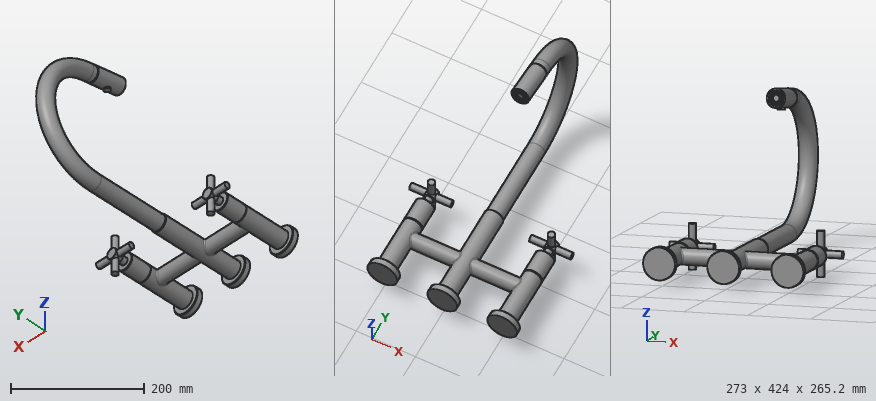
import cadquery as cq
import math


COLUMN_SPREAD = 203.0
FLANGE_DIAMETER = 50.5
FLANGE_THICKNESS = 11.0
COLUMN_DIAMETER = 32.0
OUTER_COLUMN_END = 99.5
CENTRE_COLUMN_END = 170.0
CROSS_TUBE_DIAMETER = 26.0
CROSS_TUBE_Y = 75.0
CROSS_TUBE_FILLET = 2.0
EDGE_CHAMFER = 1.05

SLEEVE_LENGTH = 40.7
STEM_DIAMETER = 13.5
HUB_DIAMETER = 19.0
HUB_LENGTH = 15.3
HUB_END = 168.0
BAR_DIAMETER = 11.5
BAR_LENGTH = 70.0

SPOUT_DIAMETER = 29.3
SPOUT_REACH = 424.0
BEND_RADIUS = 103.0
BEND_SWEEP = 171.0
TAIL_LENGTH = 10.0
HEAD_LENGTH = 59.5
HEAD_DIAMETER = 29.5
NOZZLE_GROOVE_DIAMETERS = [(10.5, 13.0), (15.5, 18.2), (20.8, 23.5)]
NOZZLE_GROOVE_DEPTH = 1.5
BUTTON_DIAMETER = 12.0
BUTTON_ROOT_DIAMETER = 4.2
BUTTON_HEIGHT = 2.5
BUTTON_SETBACK = 27.5


def cylinder_y(x, start, end, diameter):
    """Cylinder along Y, centred on (x, Z = 0)."""
    return cq.Workplane("XZ", origin=(x, start, 0)).circle(diameter / 2).extrude(start - end)


def make_column(x, end):
    flange = cylinder_y(x, 0, FLANGE_THICKNESS, FLANGE_DIAMETER).faces(">Y").chamfer(EDGE_CHAMFER)
    return flange.union(cylinder_y(x, 0, end, COLUMN_DIAMETER))


def make_bridge():
    half_spread = COLUMN_SPREAD / 2
    cross_tube = (
        cq.Workplane("YZ", origin=(-half_spread, CROSS_TUBE_Y, 0))
        .circle(CROSS_TUBE_DIAMETER / 2)
        .extrude(COLUMN_SPREAD)
    )
    centre_column = make_column(0, CENTRE_COLUMN_END)
    bridge = centre_column.faces(">Y").chamfer(EDGE_CHAMFER).union(cross_tube)
    for x in (-half_spread, half_spread):
        bridge = bridge.union(make_column(x, OUTER_COLUMN_END))

    return bridge.edges("%BSPLINE").fillet(CROSS_TUBE_FILLET)


def make_handle(x):
    sleeve_end = OUTER_COLUMN_END + SLEEVE_LENGTH
    hub_start = HUB_END - HUB_LENGTH
    bar_y = HUB_END - HUB_LENGTH / 2
    sleeve = cylinder_y(x, OUTER_COLUMN_END, sleeve_end, COLUMN_DIAMETER)
    sleeve = sleeve.faces("<Y or >Y").chamfer(EDGE_CHAMFER)
    stem = cylinder_y(x, sleeve_end, hub_start, STEM_DIAMETER)
    hub = cylinder_y(x, hub_start, HUB_END, HUB_DIAMETER)
    handle = sleeve.union(stem).union(hub)
    for plane in ("YZ", "XY"):
        bar = cq.Workplane(plane, origin=(x, bar_y, 0)).circle(BAR_DIAMETER / 2)
        handle = handle.union(bar.extrude(BAR_LENGTH / 2, both=True))
    return handle


def make_spout():
    bend_start = SPOUT_REACH - SPOUT_DIAMETER / 2 - BEND_RADIUS
    sweep = math.radians(BEND_SWEEP)
    tail_direction = (math.cos(sweep), math.sin(sweep))

    def bend_point(angle):
        return (bend_start + BEND_RADIUS * math.sin(angle), BEND_RADIUS * (1 - math.cos(angle)))

    def tail_point(distance):
        y, z = bend_point(sweep)
        return (y + distance * tail_direction[0], z + distance * tail_direction[1])

    def tail_plane(distance):
        """Plane across the tail: local x is X, local y points up, normal runs to the open end."""
        return cq.Plane((0, *tail_point(distance)), (1, 0, 0), (0, *tail_direction))

    path = (
        cq.Workplane("YZ")
        .moveTo(CENTRE_COLUMN_END, 0)
        .lineTo(bend_start, 0)
        .threePointArc(bend_point(sweep / 2), bend_point(sweep))
        .lineTo(*tail_point(TAIL_LENGTH))
    )
    tube = cq.Workplane("XZ", origin=(0, CENTRE_COLUMN_END, 0)).circle(SPOUT_DIAMETER / 2).sweep(path)

    head = cq.Workplane(tail_plane(TAIL_LENGTH)).circle(HEAD_DIAMETER / 2).extrude(HEAD_LENGTH)
    head = head.faces(">Y").chamfer(EDGE_CHAMFER)
    open_end = TAIL_LENGTH + HEAD_LENGTH
    for inner, outer in NOZZLE_GROOVE_DIAMETERS:
        groove = cq.Workplane(tail_plane(open_end)).circle(outer / 2).circle(inner / 2)
        head = head.cut(groove.extrude(-NOZZLE_GROOVE_DEPTH))

    button_centre = tail_plane(open_end - BUTTON_SETBACK)
    button = cq.Workplane(cq.Solid.makeCone(
        BUTTON_ROOT_DIAMETER / 2,
        BUTTON_DIAMETER / 2,
        HEAD_DIAMETER / 2 + BUTTON_HEIGHT,
        pnt=button_centre.origin,
        dir=-button_centre.yDir,
    ))
    return tube.union(head).union(button)


bridge = make_bridge()
spout = make_spout()
handles = [make_handle(side * COLUMN_SPREAD / 2) for side in (-1, 1)]

result = cq.Compound.makeCompound([bridge.val(), spout.val(), *[handle.val() for handle in handles]])